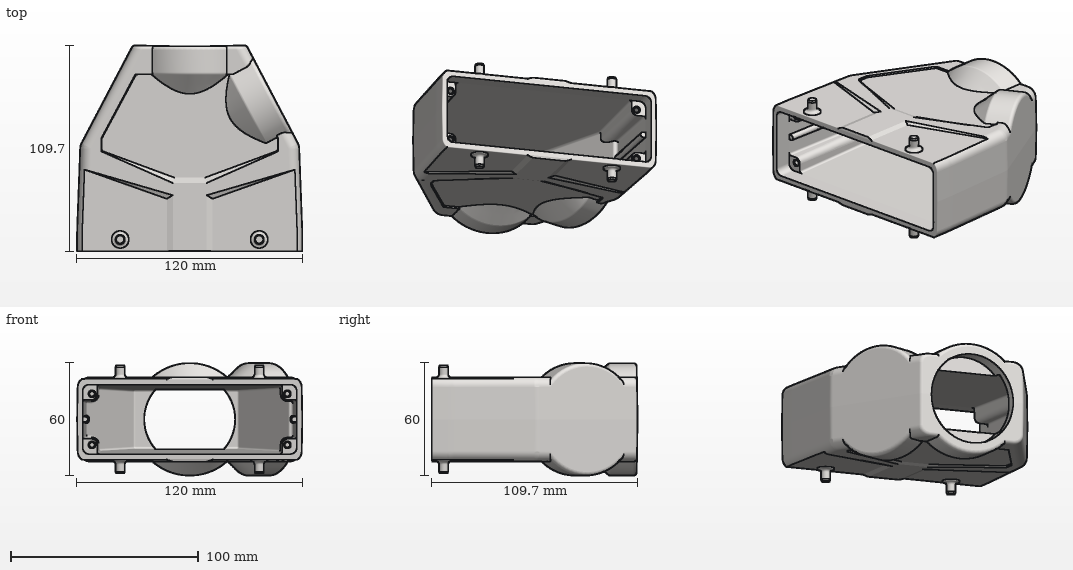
import cadquery as cq
import math

MOUTH_HALF_WIDTH = 60.0
STRAIGHT_LENGTH = 10.3
KNEE_X = 58.3
KNEE_Y = 56.3
END_HALF_WIDTH = 30.25
LENGTH = 109.7
HALF_HEIGHT = 22.5
DRAFT = 1.0
TAPER_BLEND = 1.8
KNEE_RADIUS = 6.0
SIDE_FILLET = 5.5
END_FILLET = 2.0
MOUTH_FILLET = 0.4
OVERRUN = 5.0
NEAR = 1.0

PORT_RADIUS = 30.0
PORT_COLLAR = 15.1
PORT_CONE_LENGTH = 20.0
PORT_CONE_ANGLE = 38.0
PORT_EDGE_FILLET = 1.5
PORT_BORE = 48.3
SIDE_PORT_X = (KNEE_X + END_HALF_WIDTH) / 2
SIDE_PORT_Y = (KNEE_Y + LENGTH) / 2
SIDE_PORT_ANGLE = math.degrees(math.atan2(LENGTH - KNEE_Y, KNEE_X - END_HALF_WIDTH))

RECESS_DEPTH = 0.9
PANEL_RIM_INNER = (9.0, 29.9)
PANEL_FLOOR_INNER = (12.2, 28.0)
PANEL_OUTER = (56.5, 43.7)
FIELD_CORNER_RADIUS = 1.5
FIELD_RIM = [(9.0, 36.4), (47.2, 53.3), (47.2, 59.9), (28.8, 94.4)]
FIELD_FLOOR = [(8.2, 39.3), (46.9, 53.6), (46.9, 59.9), (28.5, 94.2)]

PIN_X = 37.0
PIN_Y = 6.35
PIN_RADIUS = 2.5
PIN_TOP = 28.8
PIN_CHAMFER_HEIGHT = 1.0
PIN_CHAMFER_WIDTH = 0.4
PIN_FOOT_RADIUS = 4.6
PIN_FOOT_TOP = 22.4
PIN_FOOT_ROUND = 0.5

CAVITY_MOUTH_HALF_WIDTH = 57.0
CAVITY_MOUTH_HALF_HEIGHT = 18.5
CAVITY_MOUTH_DEPTH = 9.8
CAVITY_MOUTH_RADIUS = 3.5
CAVITY_KNEE_X = 54.9
CAVITY_KNEE_Y = 55.0
CAVITY_END_X = 29.6
CAVITY_END_Y = 104.5
CAVITY_END_HALF_HEIGHT = 15.65
CAVITY_FILLET = 1.2
PORT_PAD_X = 52.8
PORT_PAD_Y = 52.2
PORT_PAD_END_X = 25.9

BOSS_INNER_X = 49.2
BOSS_INNER_Z = 10.4
BOSS_RADIUS = 3.0
BOSS_LENGTH = 62.0
INNER_DRAFT = 1.0
SCREW_X = 52.0
SCREW_Z = 13.6
SCREW_RADIUS = 1.4
SCREW_DEPTH = 12.0
SCREW_CHAMFER = 0.5
RIB_TIP_X = 54.2
RIB_HALF_WIDTH = 1.4


def half_space(y_min):
    """Large block holding everything with Y above y_min."""
    size = 4 * LENGTH
    return cq.Workplane("XY").box(size, size, size).translate((0, y_min + size / 2, 0))


def mirrored(points):
    """Points on the +X side, then the same points on the -X side in reverse order."""
    return points + [(-x, y) for x, y in reversed(points)]


def drafted_half(half_height):
    """Plan outline extruded upwards from the parting plane with the draft angle."""
    taper_x = MOUTH_HALF_WIDTH - KNEE_X
    taper_y = KNEE_Y - STRAIGHT_LENGTH
    taper_length = math.hypot(taper_x, taper_y)
    blend_start = (MOUTH_HALF_WIDTH, STRAIGHT_LENGTH - TAPER_BLEND)
    blend_end = (
        MOUTH_HALF_WIDTH - TAPER_BLEND * taper_x / taper_length,
        STRAIGHT_LENGTH + TAPER_BLEND * taper_y / taper_length,
    )
    return (
        cq.Workplane("XY")
        .moveTo(-MOUTH_HALF_WIDTH, -OVERRUN)
        .lineTo(MOUTH_HALF_WIDTH, -OVERRUN)
        .lineTo(*blend_start)
        .tangentArcPoint(blend_end, relative=False)
        .lineTo(KNEE_X, KNEE_Y)
        .lineTo(END_HALF_WIDTH, LENGTH)
        .lineTo(-END_HALF_WIDTH, LENGTH)
        .lineTo(-KNEE_X, KNEE_Y)
        .lineTo(-blend_end[0], blend_end[1])
        .tangentArcPoint((-blend_start[0], blend_start[1]), relative=False)
        .close()
        .extrude(half_height, taper=DRAFT)
    )


def with_mirror(half):
    return half.union(half.mirror("XY"))


def four_copies(shape):
    """The shape and its mirror images in X and in Z."""
    pair = [shape, shape.mirror("YZ")]
    return pair + [item.mirror("XY") for item in pair]


def at_y(y_low, y_high):
    """Selects edges by the Y of their centre."""
    reach = 4 * LENGTH
    return cq.selectors.BoxSelector((-reach, y_low, -reach), (reach, y_high, reach))


def body_blank():
    half = drafted_half(HALF_HEIGHT)
    half = half.edges("not(#Z)").edges(at_y(KNEE_Y - NEAR, KNEE_Y + NEAR)).fillet(KNEE_RADIUS)
    half = half.faces(">Z").edges(at_y(0, LENGTH - END_FILLET)).fillet(SIDE_FILLET)
    half = half.edges(at_y(LENGTH - NEAR, LENGTH + NEAR)).edges("not(<Z)").fillet(END_FILLET)
    return with_mirror(half)


def port(x, y, angle):
    """Collar and cone of one port; its axis meets the wall at (x, y), turned clockwise from +Y."""
    cone_end_radius = PORT_RADIUS - PORT_CONE_LENGTH * math.tan(math.radians(PORT_CONE_ANGLE))
    cone_start = -PORT_COLLAR
    cone_end = cone_start - PORT_CONE_LENGTH
    solid = (
        cq.Workplane("XY")
        .polyline([
            (0, cone_end),
            (cone_end_radius, cone_end),
            (PORT_RADIUS, cone_start),
            (PORT_RADIUS, OVERRUN),
            (0, OVERRUN),
        ])
        .close()
        .revolve(360, (0, 0, 0), (0, 1, 0))
    )
    solid = solid.edges(at_y(cone_start - NEAR, cone_start + NEAR)).fillet(PORT_EDGE_FILLET)
    solid = solid.rotate((0, 0, 0), (0, 0, 1), -angle).translate((x, y, 0))
    half = solid.intersect(drafted_half(PORT_RADIUS + OVERRUN))
    axis = cq.Vector(math.sin(math.radians(angle)), math.cos(math.radians(angle)), 0)
    end_face = max(half.faces("%PLANE").vals(), key=lambda face: face.normalAt().dot(axis))
    rim = [edge for edge in end_face.Edges() if edge.geomType() == "ELLIPSE"]
    half = half.newObject(rim).fillet(END_FILLET)
    return with_mirror(half)


def panel_recess():
    """Tool for the sunken panel on the +X side of the upper face, open at the mouth."""
    def outline(inner):
        return [
            (inner[0], -OVERRUN),
            inner,
            PANEL_OUTER,
            (MOUTH_HALF_WIDTH + OVERRUN, PANEL_OUTER[1]),
            (MOUTH_HALF_WIDTH + OVERRUN, -OVERRUN),
        ]

    return (
        cq.Workplane("XY", origin=(0, 0, HALF_HEIGHT - RECESS_DEPTH))
        .polyline(outline(PANEL_FLOOR_INNER)).close()
        .workplane(offset=RECESS_DEPTH)
        .polyline(outline(PANEL_RIM_INNER)).close()
        .loft(ruled=True)
    )


def mouth_bevel():
    """Tool that slopes the mouth end of the raised strip between the panels to panel level."""
    mouth_edge_z = HALF_HEIGHT - RECESS_DEPTH - MOUTH_FILLET
    return (
        cq.Workplane("YZ")
        .polyline([(0, mouth_edge_z), (0, HALF_HEIGHT), (MOUTH_FILLET, HALF_HEIGHT)])
        .close()
        .extrude(PANEL_FLOOR_INNER[0], both=True)
    )


def field_recess():
    """Tool for the sunken field between the ports and the panels on the upper face."""
    return (
        cq.Workplane("XY", origin=(0, 0, HALF_HEIGHT - RECESS_DEPTH))
        .polyline(mirrored(FIELD_FLOOR)).close()
        .workplane(offset=RECESS_DEPTH)
        .polyline(mirrored(FIELD_RIM)).close()
        .loft(ruled=True)
        .edges("not(#Z)").edges(at_y(KNEE_Y - OVERRUN, LENGTH)).fillet(FIELD_CORNER_RADIUS)
    )


def pin():
    """Upper pin with its flared foot, on the sunken panel."""
    root_z = (CAVITY_MOUTH_HALF_HEIGHT + HALF_HEIGHT) / 2
    flare = PIN_FOOT_RADIUS - PIN_FOOT_ROUND - PIN_RADIUS
    return (
        cq.Workplane("XZ")
        .moveTo(0, root_z)
        .lineTo(PIN_FOOT_RADIUS, root_z)
        .lineTo(PIN_FOOT_RADIUS, PIN_FOOT_TOP - PIN_FOOT_ROUND)
        .radiusArc((PIN_FOOT_RADIUS - PIN_FOOT_ROUND, PIN_FOOT_TOP), -PIN_FOOT_ROUND)
        .radiusArc((PIN_RADIUS, PIN_FOOT_TOP + flare), flare)
        .lineTo(PIN_RADIUS, PIN_TOP - PIN_CHAMFER_HEIGHT)
        .lineTo(PIN_RADIUS - PIN_CHAMFER_WIDTH, PIN_TOP)
        .lineTo(0, PIN_TOP)
        .close()
        .revolve(360, (0, 0, 0), (0, 1, 0))
    )


def boss():
    """Corner screw boss in the +X, +Z corner; widens with depth."""
    return (
        cq.Workplane("ZX", origin=(0, CAVITY_MOUTH_DEPTH, 0))
        .moveTo(HALF_HEIGHT, BOSS_INNER_X)
        .lineTo(BOSS_INNER_Z + BOSS_RADIUS, BOSS_INNER_X)
        .radiusArc((BOSS_INNER_Z, BOSS_INNER_X + BOSS_RADIUS), BOSS_RADIUS)
        .lineTo(BOSS_INNER_Z, MOUTH_HALF_WIDTH)
        .lineTo(HALF_HEIGHT, MOUTH_HALF_WIDTH)
        .close()
        .extrude(BOSS_LENGTH, taper=-INNER_DRAFT)
    )


def rib():
    """Guide rib on the +X side wall with a rounded tip; widens with depth."""
    round_x = RIB_TIP_X + RIB_HALF_WIDTH
    return (
        cq.Workplane("ZX", origin=(0, CAVITY_MOUTH_DEPTH, 0))
        .moveTo(-RIB_HALF_WIDTH, MOUTH_HALF_WIDTH)
        .lineTo(-RIB_HALF_WIDTH, round_x)
        .threePointArc((0, RIB_TIP_X), (RIB_HALF_WIDTH, round_x))
        .lineTo(RIB_HALF_WIDTH, MOUTH_HALF_WIDTH)
        .close()
        .extrude(BOSS_LENGTH, taper=-INNER_DRAFT)
    )


def screw_hole():
    return (
        cq.Workplane("XZ", origin=(SCREW_X, CAVITY_MOUTH_DEPTH, SCREW_Z))
        .circle(SCREW_RADIUS + SCREW_CHAMFER)
        .workplane(offset=-SCREW_CHAMFER)
        .circle(SCREW_RADIUS)
        .loft()
        .faces(">Y").workplane()
        .circle(SCREW_RADIUS)
        .extrude(SCREW_DEPTH - SCREW_CHAMFER)
    )


def cavity_fillet_edges():
    """Cavity edges behind the mouth, less the smooth lines along the boss rounds and the
    boss tips that run into the port pad."""
    selected = at_y(CAVITY_MOUTH_DEPTH + NEAR, LENGTH)
    lowest_z = BOSS_INNER_Z - NEAR
    highest_z = BOSS_INNER_Z + BOSS_RADIUS + NEAR / 2
    for sign in (-1, 1):
        for side in (-1, 1):
            selected = selected - cq.selectors.BoxSelector(
                (side * (BOSS_INNER_X - NEAR), CAVITY_MOUTH_DEPTH, sign * lowest_z),
                (side * (BOSS_INNER_X + BOSS_RADIUS + NEAR / 2), PORT_PAD_Y - NEAR, sign * highest_z),
            )
        selected = selected - cq.selectors.BoxSelector(
            (BOSS_INNER_X - NEAR, PORT_PAD_Y - NEAR, sign * lowest_z),
            (CAVITY_KNEE_X, CAVITY_MOUTH_DEPTH + BOSS_LENGTH, sign * CAVITY_MOUTH_HALF_HEIGHT),
        )
    return selected


def cavity():
    plan = [
        (-CAVITY_MOUTH_HALF_WIDTH, CAVITY_MOUTH_DEPTH),
        (CAVITY_MOUTH_HALF_WIDTH, CAVITY_MOUTH_DEPTH),
        (CAVITY_KNEE_X, PORT_PAD_Y),
        (PORT_PAD_X, PORT_PAD_Y),
        (PORT_PAD_END_X, CAVITY_END_Y),
        (-CAVITY_END_X, CAVITY_END_Y),
        (-CAVITY_KNEE_X, CAVITY_KNEE_Y),
    ]
    side = [
        (CAVITY_MOUTH_DEPTH, -CAVITY_MOUTH_HALF_HEIGHT),
        (CAVITY_MOUTH_DEPTH, CAVITY_MOUTH_HALF_HEIGHT),
        (CAVITY_END_Y, CAVITY_END_HALF_HEIGHT),
        (CAVITY_END_Y, -CAVITY_END_HALF_HEIGHT),
    ]
    room = (
        cq.Workplane("XY").polyline(plan).close().extrude(HALF_HEIGHT, both=True)
        .intersect(cq.Workplane("YZ").polyline(side).close().extrude(MOUTH_HALF_WIDTH, both=True))
    )
    mouth = (
        cq.Workplane("XZ", origin=(0, -OVERRUN, 0))
        .rect(2 * CAVITY_MOUTH_HALF_WIDTH, 2 * CAVITY_MOUTH_HALF_HEIGHT)
        .extrude(-OVERRUN - CAVITY_MOUTH_DEPTH)
        .edges("|Y").fillet(CAVITY_MOUTH_RADIUS)
    )
    for shape in four_copies(boss()):
        room = room.cut(shape)
    room = room.edges(cavity_fillet_edges()).fillet(CAVITY_FILLET)
    for shape in (rib(), rib().mirror("YZ")):
        room = room.cut(shape)
    return room.union(mouth)


def port_bore():
    return (
        cq.Workplane("XZ", origin=(0, CAVITY_END_Y - OVERRUN, 0))
        .circle(PORT_BORE / 2)
        .extrude(-LENGTH)
    )


def hood():
    body = body_blank().intersect(half_space(0))
    field = field_recess()
    for tool in four_copies(panel_recess()) + [field, field.mirror("XY")]:
        body = body.cut(tool)
    body = body.faces("<Y").edges().fillet(MOUTH_FILLET)
    bevel = mouth_bevel()
    body = body.cut(bevel).cut(bevel.mirror("XY"))
    body = body.union(port(0, LENGTH, 0))
    body = body.union(port(SIDE_PORT_X, SIDE_PORT_Y, SIDE_PORT_ANGLE))
    for shape in four_copies(pin().translate((PIN_X, PIN_Y, 0))):
        body = body.union(shape)
    for tool in [cavity(), port_bore()] + four_copies(screw_hole()):
        body = body.cut(tool)
    return body


result = hood()